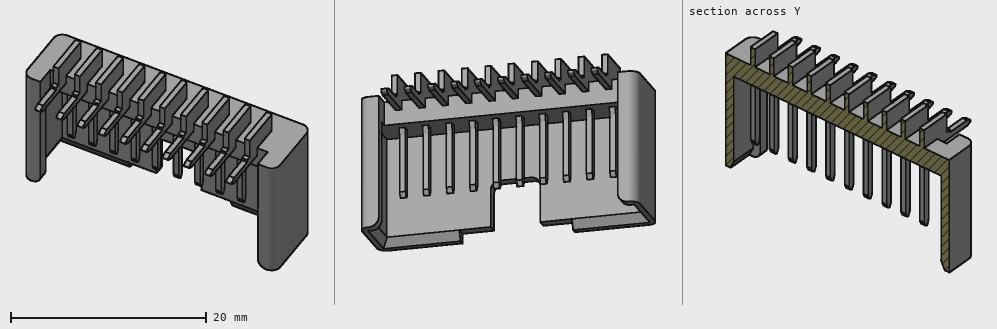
import cadquery as cq

LENGTH = 29.7
DEPTH = 7.5
HEIGHT = 14.2
CORNER_RADIUS = 1.0
BACK_WALL = 1.25
END_WALL = 1.13
LIP_REACH = 2.08
BAR_DEPTH = 5.44
BAR_HEIGHT = 2.52

LEAD_IN_HEIGHT = 1.05
LEAD_IN_DEPTH = 0.5
SKIRT_GAP = 12.03
SLOT_WIDTH = 5.3
SLOT_TOP = 6.0

PIN_COUNT = 10
PIN_PITCH = 2.5
PIN_WIDTH = 0.62
PIN_THICKNESS = 0.7
PLATE_BACK = 2.35
PLATE_FRONT = 6.98
PLATE_TOP = 16.45
TAIL_BOTTOM = 13.2
TAIL_END = 10.8
LEG_CENTER = 3.7
LEG_BOTTOM = 4.22
SHOULDER_HEIGHT = 0.8
SHOULDER_DEPTH = 0.2
TIP_LENGTH = 0.55
TIP_ROUND = 0.15
TIP_NOSE = 0.35

CAVITY_TOP = HEIGHT - BAR_HEIGHT
CAVITY_LENGTH = LENGTH - 2 * END_WALL
MOUTH_WIDTH = LENGTH - 2 * LIP_REACH


def block(width, back, front, bottom, top):
    """Box centred on X, from `back` to `front` measured forward (-Y) from the back face."""
    return (
        cq.Workplane("XY")
        .box(width, front - back, top - bottom, centered=(True, False, False))
        .translate((0, -front, bottom))
    )


def lead_in():
    """Sloped relief that widens the cavity at its bottom edge on the back and end walls."""
    lip_back = END_WALL - DEPTH
    widened_back = LEAD_IN_DEPTH - BACK_WALL
    return (
        cq.Workplane("XY")
        .center(0, (lip_back + widened_back) / 2)
        .rect(CAVITY_LENGTH + 2 * LEAD_IN_DEPTH, widened_back - lip_back)
        .workplane(offset=LEAD_IN_HEIGHT)
        .center(0, -LEAD_IN_DEPTH / 2)
        .rect(CAVITY_LENGTH, -BACK_WALL - lip_back)
        .loft(ruled=True)
    )


def front_opening():
    """Gap between the lips, flaring out in a rounded curve at the bottom."""
    half = MOUTH_WIDTH / 2
    radius = CORNER_RADIUS
    return (
        cq.Workplane("XZ", origin=(0, -BACK_WALL, 0))
        .moveTo(-half, CAVITY_TOP)
        .lineTo(-half, radius)
        .radiusArc((-half - radius, 0), radius)
        .lineTo(half + radius, 0)
        .radiusArc((half, radius), radius)
        .lineTo(half, CAVITY_TOP)
        .close()
        .extrude(DEPTH - BACK_WALL)
    )


def key_slot():
    """Round-cornered slot in the back wall, inside a wider shallow gap at its bottom edge."""
    slot = block(SLOT_WIDTH, 0, BACK_WALL, 0, SLOT_TOP).edges("|Y and >Z").fillet(CORNER_RADIUS)
    return slot.union(block(SKIRT_GAP, 0, BACK_WALL, 0, LEAD_IN_HEIGHT))


def housing():
    """Rounded shell with an open front, a bar along the top and a lip on each end wall."""
    body = block(LENGTH, 0, DEPTH, 0, HEIGHT).edges("|Z").fillet(CORNER_RADIUS)
    body = body.cut(block(MOUTH_WIDTH, BAR_DEPTH, DEPTH, CAVITY_TOP, HEIGHT))
    body = body.cut(block(CAVITY_LENGTH, BACK_WALL, DEPTH - END_WALL, 0, CAVITY_TOP))
    return body.cut(front_opening()).cut(lead_in()).cut(key_slot())


def prong(length):
    """Bar hanging down from the origin to a pointed, round-nosed end."""
    half = PIN_THICKNESS / 2
    nose = TIP_NOSE / 2
    taper_start = TIP_LENGTH - length
    nose_start = TIP_ROUND - length
    return (
        cq.Workplane("YZ")
        .moveTo(-half, 0)
        .lineTo(-half, taper_start)
        .lineTo(-nose, nose_start)
        .threePointArc((0, -length), (nose, nose_start))
        .lineTo(half, taper_start)
        .lineTo(half, 0)
        .close()
        .extrude(PIN_WIDTH / 2, both=True)
    )


def shoulder():
    """Wedge on the front of the leg, widening up into the carrier bar."""
    leg_front = -LEG_CENTER - PIN_THICKNESS / 2
    return (
        cq.Workplane("YZ")
        .moveTo(leg_front, CAVITY_TOP - SHOULDER_HEIGHT)
        .lineTo(leg_front - SHOULDER_DEPTH, CAVITY_TOP)
        .lineTo(leg_front, CAVITY_TOP)
        .close()
        .extrude(PIN_WIDTH / 2, both=True)
    )


def pin():
    """Plate through the bar, with a solder tail toward -Y and a contact leg toward -Z."""
    plate = block(PIN_WIDTH, PLATE_BACK, PLATE_FRONT, TAIL_BOTTOM, PLATE_TOP)
    step = block(PIN_WIDTH, PLATE_BACK, DEPTH, TAIL_BOTTOM, HEIGHT)
    tail = (
        prong(TAIL_END - PLATE_BACK)
        .rotate((0, 0, 0), (1, 0, 0), -90)
        .translate((0, -PLATE_BACK, TAIL_BOTTOM + PIN_THICKNESS / 2))
    )
    leg = prong(TAIL_BOTTOM - LEG_BOTTOM).translate((0, -LEG_CENTER, TAIL_BOTTOM))
    return plate.union(step).union(tail).union(leg).union(shoulder())


result = housing()
single_pin = pin()
for index in range(PIN_COUNT):
    offset = (index - (PIN_COUNT - 1) / 2) * PIN_PITCH
    result = result.union(single_pin.translate((offset, 0, 0)))